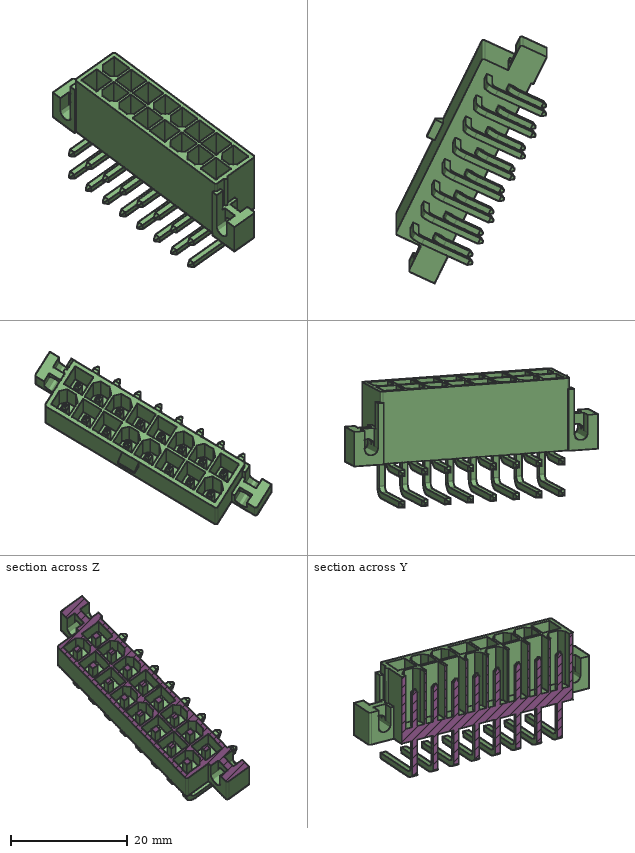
import cadquery as cq


columns = 8
pitch = 4.2
end_margin = 2.7
housing_length = (columns - 1) * pitch + 2 * end_margin
housing_width = 9.5
housing_height = 12.7
edge_radius = 0.4
half_length = housing_length / 2
half_width = housing_width / 2

cavity_size = 3.7
cavity_corner = 0.95
cavity_depth = 10.0
back_wall = 0.8
rear_cavity_y = half_width - back_wall - cavity_size / 2
rear_row_keys = "CSSCCSSC"
front_row_keys = "SCCSSCCS"

pin_size = 1.07
rear_pin_inset = 2.4
rear_pin_y = half_width - rear_pin_inset
pin_recess = 3.0
pin_top = housing_height - pin_recess
pin_overhang = 3.9
pin_front = -half_width - pin_overhang
bend_inner_radius = 1.0
bend_radius = bend_inner_radius + pin_size / 2
tip_length = 0.7
tip_size = 0.35
lowest_pin = -7.23
rear_leg_z = lowest_pin + pin_size / 2
leg_spacing = 5.5
front_leg_z = rear_leg_z + leg_spacing

overall_length = 44.8
ear_end = overall_length / 2
ear_overhang = 0.4
ear_front = -half_width - ear_overhang
ear_depth = 5.0
ear_height = 6.1
ear_root = half_length - edge_radius
hole_diameter = 2.46
hole_inset = 3.13
hole_height = 3.0
web_thickness = 1.3
front_slot_depth = 2.0
web_front = ear_front + front_slot_depth

post_end = ear_end - hole_inset - hole_diameter / 2
post_depth = 1.5
post_height = 10.8

latch_width = 3.4
latch_reach = 1.5
latch_slope_height = 2.3
latch_height = 3.1
rib_radius = 0.38
rib_y = -2.35


def box(x_min, x_max, y_min, y_max, z_min, z_max):
    size = (x_max - x_min, y_max - y_min, z_max - z_min)
    return cq.Workplane("XY").box(*size, centered=False).translate((x_min, y_min, z_min))


def column_x(column):
    return (column - (columns - 1) / 2) * pitch


def make_housing():
    housing = box(-half_length, half_length, -half_width, half_width, 0, housing_height)
    return housing.edges("|Z").fillet(edge_radius)


def make_cavity(x, y, key):
    plane = cq.Workplane("XY").workplane(offset=housing_height - cavity_depth)
    cavity = plane.center(x, y).rect(cavity_size, cavity_size).extrude(cavity_depth)
    if key == "C":
        cavity = cavity.edges("|Z and <Y").chamfer(cavity_corner)
    return cavity


def make_latch():
    profile = [
        (half_width - edge_radius, housing_height),
        (half_width, housing_height),
        (half_width + latch_reach, housing_height - latch_slope_height),
        (half_width + latch_reach, housing_height - latch_height),
        (half_width - edge_radius, housing_height - latch_height),
    ]
    return cq.Workplane("YZ").polyline(profile).close().extrude(latch_width / 2, both=True)


def make_rib():
    return cq.Workplane("XY").center(half_length, rib_y).circle(rib_radius).extrude(housing_height)


def make_ear_slot(y_min, y_max):
    """U-shaped opening: round at the bottom, open at the top of the ear."""
    x = ear_end - hole_inset
    radius = hole_diameter / 2
    upper = box(x - radius, x + radius, y_min, y_max, hole_height, ear_height)
    return upper.union(make_ear_hole(y_min, y_max))


def make_ear_hole(y_min, y_max):
    plane = cq.Workplane("XZ", origin=(ear_end - hole_inset, y_max, hole_height))
    return plane.circle(hole_diameter / 2).extrude(y_max - y_min)


def make_right_ear():
    ear_back = ear_front + ear_depth
    web_back = web_front + web_thickness
    ear = box(ear_root, ear_end, ear_front, ear_back, 0, ear_height)
    ear = ear.edges("|Z and >X and >Y").fillet(edge_radius)
    post = box(ear_root, post_end, ear_front, ear_front + post_depth, 0, post_height)
    ear = ear.union(post)
    ear = ear.cut(make_ear_slot(ear_front, web_front))
    ear = ear.cut(make_ear_slot(web_back, ear_back))
    return ear.cut(make_ear_hole(web_front, web_back))


def make_tip(plane):
    """Four-sided taper from the full pin section to the blunt end."""
    base = cq.Workplane(plane).rect(pin_size, pin_size)
    return base.workplane(offset=tip_length).rect(tip_size, tip_size).loft(ruled=True)


def make_pin(x, y, leg_z):
    shank_top = pin_top - tip_length
    shank_front = pin_front + tip_length
    vertical = cq.Workplane("XY", origin=(x, y, leg_z + bend_radius))
    vertical = vertical.rect(pin_size, pin_size).extrude(shank_top - leg_z - bend_radius)
    leg = cq.Workplane("XZ", origin=(x, y - bend_radius, leg_z))
    leg = leg.rect(pin_size, pin_size).extrude(y - bend_radius - shank_front)
    bend = cq.Workplane("XZ", origin=(x, y - bend_radius, leg_z)).rect(pin_size, pin_size)
    bend = bend.revolve(90, (0, bend_radius, 0), (1, bend_radius, 0))
    top_tip = make_tip(cq.Plane((x, y, shank_top), (1, 0, 0), (0, 0, 1)))
    front_tip = make_tip(cq.Plane((x, shank_front, leg_z), (1, 0, 0), (0, -1, 0)))
    return vertical.union(bend).union(leg).union(top_tip).union(front_tip)


right_ear = make_right_ear()
result = make_housing().union(right_ear).union(right_ear.mirror("YZ"))
result = result.union(make_latch()).union(make_rib())

rows = [
    (rear_row_keys, rear_cavity_y, rear_pin_y, rear_leg_z),
    (front_row_keys, rear_cavity_y - pitch, rear_pin_y - pitch, front_leg_z),
]
for keys, cavity_y, pin_y, leg_z in rows:
    for column, key in enumerate(keys):
        result = result.cut(make_cavity(column_x(column), cavity_y, key))
        result = result.union(make_pin(column_x(column), pin_y, leg_z))